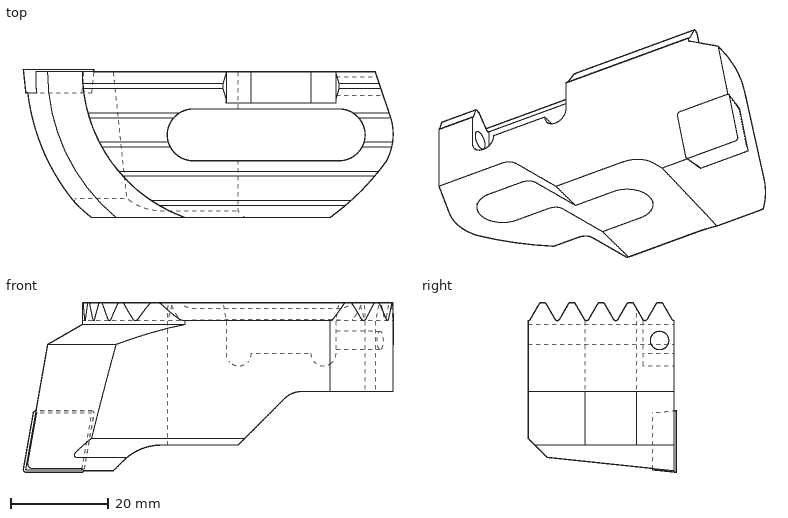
import cadquery as cq
import math


width = 30.0
back_side = width / 2
front_side = -width / 2
length = 76.0
total_height = 34.9
margin = 5.0

nose_axis_x = 44.0
nose_top_radius = 31.87
nose_step_z = -4.5
nose_shoulder_radius = 39.0
nose_shoulder_z = -8.6
nose_wall_angle = 10.0

tail_back_x = 72.3
tail_bend = (75.5, 5.5)
tail_tip = (length, 2.0)
tail_seam = (74.6, -3.4)
tail_flank_middle = (68.4, -10.5)
tail_front_x = 63.0

relief_angle = 6.0
heel_z = -34.57
belly_z = -29.3
belly_rear_x = 44.1
heel_rear_x = 18.5
heel_arc_radius = 11.0
tail_bottom_z = -18.3
tail_corner_radius = 5.0
heel_edge_radius = 1.0
front_chamfer_top_z = -27.9

tooth_count = 5
tooth_pitch = width / tooth_count
tooth_depth = 3.7
flank_angle = math.radians(30.0)
root_radius = 0.5
tip_half_width = 0.5
tip_bevel_height = 0.4
root_half_width = root_radius * math.cos(flank_angle)
root_rise = root_radius * (1 - math.sin(flank_angle))
root_z = -tooth_depth

slot_start_x = 29.6
slot_end_x = 70.2
slot_width = 10.6
slot_y = 2.0

notch_start_x = 41.7
notch_end_x = 64.2
notch_front_y = back_side - tooth_pitch - root_half_width
notch_floor_z = -10.5
notch_groove_radius = 2.55
notch_flare = 0.65

screw_hole_radius = 1.9
screw_hole_y = back_side - tooth_pitch / 2
screw_hole_z = -7.8

insert_length = 12.55
insert_height = 12.7
insert_lean = 10.0
insert_draft = 6.0
insert_thickness = 4.86
insert_face_y = 15.46
insert_corner_radius = 0.6


def make_nose_envelope():
    bottom_z = -total_height - margin
    bottom_radius = nose_shoulder_radius
    bottom_radius += (nose_shoulder_z - bottom_z) * math.tan(math.radians(nose_wall_angle))
    nose = (
        cq.Workplane("XZ", origin=(nose_axis_x, back_side, 0))
        .moveTo(0, 0)
        .lineTo(nose_top_radius, 0)
        .lineTo(nose_top_radius, nose_step_z)
        .lineTo(nose_shoulder_radius, nose_shoulder_z)
        .lineTo(bottom_radius, bottom_z)
        .lineTo(0, bottom_z)
        .close()
        .revolve(360, (0, 0, 0), (0, 1, 0))
    )
    rear = cq.Workplane("XY").box(length, width, -bottom_z, centered=False)
    return nose.union(rear.translate((nose_axis_x, front_side, bottom_z)))


def make_plan():
    return (
        cq.Workplane("XY")
        .moveTo(-margin, front_side)
        .lineTo(tail_front_x, front_side)
        .threePointArc(tail_flank_middle, tail_seam)
        .threePointArc(tail_tip, tail_bend)
        .lineTo(tail_back_x, back_side)
        .lineTo(-margin, back_side)
        .close()
        .extrude(-total_height - margin)
    )


def make_serrated_section():
    """Prism along X: teeth on top, sloping relief face at the bottom."""
    flank_foot = tooth_pitch / 2 - root_half_width
    flank_height = tooth_depth - root_rise - tip_bevel_height
    flank_top = flank_foot - flank_height * math.tan(flank_angle)

    half_arc_angle = (math.pi / 2 - flank_angle) / 2
    half_arc_y = root_radius * math.sin(half_arc_angle)
    half_arc_z = root_z + root_radius * (1 - math.cos(half_arc_angle))

    section = cq.Workplane("YZ", origin=(-margin, 0, 0)).moveTo(front_side, root_z)
    for i in range(tooth_count):
        root_before = front_side + i * tooth_pitch
        center = root_before + tooth_pitch / 2
        root_after = root_before + tooth_pitch
        section = (
            section
            .threePointArc((root_before + half_arc_y, half_arc_z), (center - flank_foot, root_z + root_rise))
            .lineTo(center - flank_top, -tip_bevel_height)
            .lineTo(center - tip_half_width, 0)
            .lineTo(center + tip_half_width, 0)
            .lineTo(center + flank_top, -tip_bevel_height)
            .lineTo(center + flank_foot, root_z + root_rise)
            .threePointArc((root_after - half_arc_y, half_arc_z), (root_after, root_z))
        )
    relief_rise = width * math.tan(math.radians(relief_angle))
    return (
        section
        .lineTo(back_side, heel_z)
        .lineTo(front_side, heel_z + relief_rise)
        .close()
        .extrude(length + 2 * margin)
    )


def make_underside_cut():
    """Space below the belly and the tail, behind the heel; both ramps rise at 45 degrees."""
    ramp = math.pi / 4
    low_z = -total_height - margin

    heel_arc_drop = heel_arc_radius * (1 - math.cos(ramp))
    heel_arc_front_z = belly_z - heel_arc_drop
    heel_arc_front_x = heel_rear_x + heel_arc_front_z - heel_z
    heel_arc_rear_x = heel_arc_front_x + heel_arc_radius * math.sin(ramp)
    heel_arc_middle = (
        heel_arc_rear_x - heel_arc_radius * math.sin(ramp / 2),
        belly_z - heel_arc_radius * (1 - math.cos(ramp / 2)),
    )

    ramp_top_x = belly_rear_x + tail_bottom_z - belly_z
    tail_arc_rear_x = ramp_top_x + tail_corner_radius * math.tan(ramp / 2)
    tail_arc_front = (
        tail_arc_rear_x - tail_corner_radius * math.sin(ramp),
        tail_bottom_z - tail_corner_radius * (1 - math.cos(ramp)),
    )
    tail_arc_middle = (
        tail_arc_rear_x - tail_corner_radius * math.sin(ramp / 2),
        tail_bottom_z - tail_corner_radius * (1 - math.cos(ramp / 2)),
    )
    return (
        cq.Workplane("XZ", origin=(0, back_side, 0))
        .moveTo(heel_rear_x + low_z - heel_z, low_z)
        .lineTo(heel_arc_front_x, heel_arc_front_z)
        .threePointArc(heel_arc_middle, (heel_arc_rear_x, belly_z))
        .lineTo(belly_rear_x, belly_z)
        .lineTo(*tail_arc_front)
        .threePointArc(tail_arc_middle, (tail_arc_rear_x, tail_bottom_z))
        .lineTo(length + margin, tail_bottom_z)
        .lineTo(length + margin, low_z)
        .close()
        .extrude(width)
    )


def make_front_chamfer_cut():
    size = total_height + front_chamfer_top_z + margin
    return (
        cq.Workplane("YZ", origin=(-margin, 0, 0))
        .moveTo(front_side, front_chamfer_top_z)
        .lineTo(front_side + size, front_chamfer_top_z - size)
        .lineTo(front_side, front_chamfer_top_z - size)
        .close()
        .extrude(length + 2 * margin)
    )


def make_slot_cut():
    slot_length = slot_end_x - slot_start_x
    return (
        cq.Workplane("XY")
        .center((slot_start_x + slot_end_x) / 2, slot_y)
        .slot2D(slot_length, slot_width)
        .extrude(-total_height)
    )


def make_notch_cut():
    groove_width = 2 * notch_groove_radius
    groove_bottom_z = notch_floor_z - notch_groove_radius
    return (
        cq.Workplane("XZ", origin=(0, back_side, 0))
        .moveTo(notch_start_x - notch_flare, 0)
        .lineTo(notch_start_x, root_z)
        .lineTo(notch_start_x, notch_floor_z)
        .threePointArc((notch_start_x + notch_groove_radius, groove_bottom_z),
                       (notch_start_x + groove_width, notch_floor_z))
        .lineTo(notch_end_x - groove_width, notch_floor_z)
        .threePointArc((notch_end_x - notch_groove_radius, groove_bottom_z),
                       (notch_end_x, notch_floor_z))
        .lineTo(notch_end_x, root_z)
        .lineTo(notch_end_x + notch_flare, 0)
        .close()
        .extrude(back_side - notch_front_y)
    )


def make_screw_hole_cut():
    return (
        cq.Workplane("YZ", origin=(notch_end_x - notch_groove_radius, screw_hole_y, screw_hole_z))
        .circle(screw_hole_radius)
        .extrude(length - notch_end_x + margin)
    )


def make_insert():
    """Leaning plate with rounded corners, drafted towards its inner face."""
    lean = insert_height * math.tan(math.radians(insert_lean))
    tip_half_angle = math.radians(90 - insert_lean) / 2
    tip_setback = insert_corner_radius * (1 / math.tan(tip_half_angle) - 1)
    face = (
        cq.Sketch()
        .polygon([
            (0, 0),
            (insert_length, 0),
            (insert_length + lean, insert_height),
            (lean, insert_height),
            (0, 0),
        ])
        .vertices()
        .fillet(insert_corner_radius)
    )
    return (
        cq.Workplane("XZ", origin=(-tip_setback, insert_face_y, -total_height))
        .placeSketch(face)
        .extrude(insert_thickness, taper=insert_draft)
    )


def make_housing(insert):
    blank = make_serrated_section().intersect(make_plan()).intersect(make_nose_envelope())
    heel_edge = blank.faces("<Z").edges("<X")
    housing = heel_edge.fillet(heel_edge_radius)
    housing = housing.cut(make_underside_cut()).cut(make_front_chamfer_cut())
    housing = housing.cut(make_slot_cut()).cut(make_notch_cut()).cut(make_screw_hole_cut())
    return housing.cut(insert)


insert = make_insert()
housing = make_housing(insert)
result = cq.Compound.makeCompound([housing.val(), insert.val()])